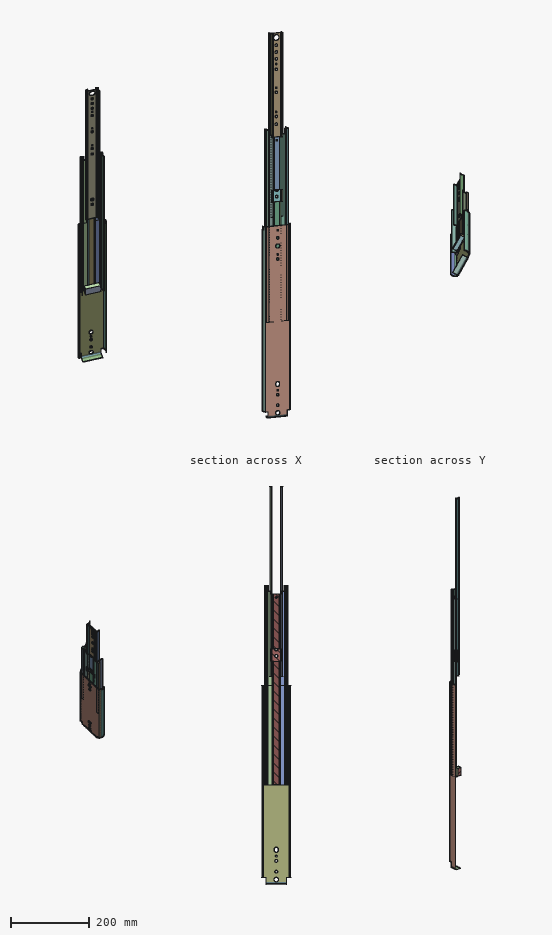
import cadquery as cq


OUTER_SHEET = 2.0
SHEET = 1.5
BACK_X = -9.7
FRONT_X = 9.7

OUTER_TOP = 508.0
OUTER_BOTTOM = 17.0
OUTER_WEB_HALF = 34.0
OUTER_SHOULDER_X = -3.6
OUTER_BULGE_X = 1.5
OUTER_HALF_WIDTH = 76.0 / 2
OUTER_BULGE = 1.3
OUTER_SHOULDER_Y = OUTER_HALF_WIDTH - OUTER_BULGE
OUTER_RIM_X = 7.6
OUTER_RIM_Y = 37.0
RIM_NOTCH_X = -1.5
RIM_NOTCH_DEPTH = 10.0
TAB_WIDTH = 53.0
TAB_BEND_RADIUS = 5.0

MIDDLE_TOP = 763.0
MIDDLE_BOTTOM = 254.0
MIDDLE_CREST_X = BACK_X + OUTER_SHEET
MIDDLE_WEB_X = -6.6
MIDDLE_FLOOR_X = -3.0
VALLEY_FLOOR_HALF = 6.6
VALLEY_MOUTH_HALF = 10.0
CREST_FOOT_Y = 21.0
CREST_INNER_Y = 48.0 / 2
CREST_OUTER_Y = 54.0 / 2
MIDDLE_HALF_WIDTH = 60.0 / 2
MIDDLE_CORNER_X = -7.5
RACE_X = -2.5
RACE_Y = CREST_OUTER_Y
MIDDLE_RIM_X = 8.6
RACE_MID_X = 3.0
RACE_MID_Y = 27.0
WEB_TOP = 749.0
WEB_NOTCH_HALF = 15.0
WEB_NOTCH_BOTTOM = 742.0
WEB_CUT_HALF = 20.0

INNER_TOP = 1016.0
INNER_BOTTOM = 530.0
INNER_FLOOR_X = 1.0
INNER_FLOOR_HALF = 21.0 / 2
INNER_CREST_X = -4.6
INNER_BEVEL_X = -3.6
INNER_BEVEL_Y = 16.0
INNER_HALF_WIDTH = 36.0 / 2
GROOVE_START_X = -1.0
GROOVE_MID_X = 4.0
GROOVE_MID_Y = 16.0

WINDOW_BOTTOM = 570.0
WINDOW_TOP = 601.0
WINDOW_HALF = 15.0
LATCH_HALF = 10.0
LATCH_HOLE_Z = 583.0
LATCH_HOLE = 7.0
LATCH_NOTCH = 9.0

STOP_BOTTOM = 255.0
STOP_TOP = 277.0
STOP_HALF = 20.0

PIN_HOLE = 4.0
SCREW_HOLE = 6.6
MOUNT_HOLE = 11.0
END_HOLE = 15.0
SLOT_WIDTH = 10.0
SLOT_HEIGHT = 13.0
OUTER_PIN_Z = [496.0, 432.0, 72.0]
OUTER_SCREW_Z = [475.0, 420.0, 60.0, 33.0]
OUTER_MOUNT_Z = [454.0, 12.0]
OUTER_SLOT_Z = 88.0
MIDDLE_PIN_Z = [733.0]
INNER_PIN_Z = [934.0, 871.0, 807.0]
INNER_SCREW_Z = [983.0, 965.0, 947.0, 919.0, 859.0, 795.0, 774.0]
INNER_END_Z = 1004.0

DRILL_LENGTH = FRONT_X - BACK_X


def box(x_range, half_width, z_range):
    """Block between two X values and two Z values, centred on Y = 0."""
    x0, x1 = x_range
    z0, z1 = z_range
    block = cq.Workplane("XY").box(x1 - x0, 2 * half_width, z1 - z0, centered=(False, True, False))
    return block.translate((x0, 0, z0))


def drill_plane():
    """Sketch plane on the back, local axes (Y, Z), extruding towards +X."""
    return cq.Workplane("YZ", origin=(BACK_X, 0, 0))


def drills(diameter, heights):
    """Round cutters along X on the middle line, one at each height."""
    places = [(0, z) for z in heights]
    return drill_plane().pushPoints(places).circle(diameter / 2).extrude(DRILL_LENGTH)


def half_start(x, bottom):
    """Half profile of a channel, started on the symmetry line."""
    return cq.Workplane("XY", origin=(0, 0, bottom)).moveTo(x, 0)


def outer_channel():
    half = (
        half_start(BACK_X, OUTER_BOTTOM)
        .lineTo(BACK_X, OUTER_WEB_HALF)
        .lineTo(OUTER_SHOULDER_X, OUTER_SHOULDER_Y)
        .threePointArc((OUTER_BULGE_X, OUTER_HALF_WIDTH), (OUTER_RIM_X, OUTER_RIM_Y))
        .lineTo(OUTER_RIM_X, OUTER_RIM_Y - OUTER_SHEET)
        .threePointArc(
            (OUTER_BULGE_X, OUTER_HALF_WIDTH - OUTER_SHEET),
            (OUTER_SHOULDER_X + OUTER_SHEET / 2, OUTER_SHOULDER_Y - OUTER_SHEET),
        )
        .lineTo(BACK_X + OUTER_SHEET, OUTER_WEB_HALF - OUTER_SHEET / 2)
        .lineTo(BACK_X + OUTER_SHEET, 0)
    )
    channel = half.mirrorX().extrude(OUTER_TOP - OUTER_BOTTOM)
    rim_notch = box(
        (RIM_NOTCH_X, FRONT_X), OUTER_HALF_WIDTH, (OUTER_TOP - RIM_NOTCH_DEPTH, OUTER_TOP)
    )
    return channel.cut(rim_notch)


def outer_tab():
    """Web tab below the channel, bent forward into a foot at Z = 0."""
    bend_x = BACK_X + TAB_BEND_RADIUS
    foot = box((bend_x, OUTER_RIM_X), TAB_WIDTH / 2, (0, OUTER_SHEET))
    upright = box((BACK_X, BACK_X + OUTER_SHEET), TAB_WIDTH / 2, (TAB_BEND_RADIUS, OUTER_BOTTOM))
    ring = (
        cq.Workplane("XZ", origin=(bend_x, TAB_WIDTH / 2, TAB_BEND_RADIUS))
        .circle(TAB_BEND_RADIUS)
        .circle(TAB_BEND_RADIUS - OUTER_SHEET)
        .extrude(TAB_WIDTH)
    )
    bend = ring.intersect(box((BACK_X, bend_x), TAB_WIDTH / 2, (0, TAB_BEND_RADIUS)))
    return upright.union(bend).union(foot)


def make_outer_member():
    slot = (
        drill_plane()
        .center(0, OUTER_SLOT_Z)
        .slot2D(SLOT_HEIGHT, SLOT_WIDTH, 90)
        .extrude(DRILL_LENGTH)
    )
    return (
        outer_channel()
        .union(outer_tab())
        .cut(drills(PIN_HOLE, OUTER_PIN_Z))
        .cut(drills(SCREW_HOLE, OUTER_SCREW_Z))
        .cut(drills(MOUNT_HOLE, OUTER_MOUNT_Z))
        .cut(slot)
    )


def intermediate_channel():
    half = (
        half_start(MIDDLE_FLOOR_X, MIDDLE_BOTTOM)
        .lineTo(MIDDLE_FLOOR_X, VALLEY_FLOOR_HALF)
        .lineTo(MIDDLE_WEB_X, VALLEY_MOUTH_HALF)
        .lineTo(MIDDLE_WEB_X, CREST_FOOT_Y)
        .lineTo(MIDDLE_CREST_X, CREST_INNER_Y)
        .lineTo(MIDDLE_CREST_X, CREST_OUTER_Y)
        .lineTo(MIDDLE_CORNER_X, MIDDLE_HALF_WIDTH)
        .lineTo(RACE_X, MIDDLE_HALF_WIDTH)
        .lineTo(RACE_X, RACE_Y)
        .threePointArc((RACE_MID_X, RACE_MID_Y), (MIDDLE_RIM_X, MIDDLE_HALF_WIDTH))
        .lineTo(MIDDLE_RIM_X, MIDDLE_HALF_WIDTH - SHEET)
        .threePointArc((RACE_MID_X, RACE_MID_Y - SHEET), (RACE_X - SHEET, RACE_Y - SHEET))
        .lineTo(MIDDLE_CREST_X + SHEET, CREST_INNER_Y)
        .lineTo(MIDDLE_WEB_X + SHEET, CREST_FOOT_Y)
        .lineTo(MIDDLE_WEB_X + SHEET, VALLEY_MOUTH_HALF + SHEET / 2)
        .lineTo(MIDDLE_FLOOR_X + SHEET, VALLEY_FLOOR_HALF + SHEET / 2)
        .lineTo(MIDDLE_FLOOR_X + SHEET, 0)
    )
    return half.mirrorX().extrude(MIDDLE_TOP - MIDDLE_BOTTOM)


def make_intermediate_member():
    cut_x = (BACK_X, FRONT_X)
    top_recess = box(cut_x, WEB_CUT_HALF, (WEB_TOP, MIDDLE_TOP))
    top_notch = box(cut_x, WEB_NOTCH_HALF, (WEB_NOTCH_BOTTOM, WEB_TOP))
    window = box(cut_x, WINDOW_HALF, (WINDOW_BOTTOM, WINDOW_TOP))
    return (
        intermediate_channel()
        .cut(top_recess)
        .cut(top_notch)
        .cut(window)
        .cut(drills(PIN_HOLE, MIDDLE_PIN_Z))
    )


def inner_channel():
    inside_half = INNER_HALF_WIDTH - SHEET
    half = (
        half_start(INNER_FLOOR_X, INNER_BOTTOM)
        .lineTo(INNER_FLOOR_X, INNER_FLOOR_HALF)
        .lineTo(INNER_CREST_X, INNER_FLOOR_HALF)
        .lineTo(INNER_BEVEL_X, INNER_BEVEL_Y)
        .lineTo(GROOVE_START_X, INNER_HALF_WIDTH)
        .threePointArc((GROOVE_MID_X, GROOVE_MID_Y), (FRONT_X, INNER_HALF_WIDTH))
        .lineTo(FRONT_X, inside_half)
        .threePointArc((GROOVE_MID_X, GROOVE_MID_Y - SHEET), (GROOVE_START_X, inside_half))
        .lineTo(INNER_BEVEL_X + SHEET, INNER_BEVEL_Y - SHEET)
        .lineTo(INNER_CREST_X + SHEET, INNER_FLOOR_HALF + SHEET)
        .lineTo(INNER_FLOOR_X + SHEET, INNER_FLOOR_HALF + SHEET)
        .lineTo(INNER_FLOOR_X + SHEET, 0)
    )
    return half.mirrorX().extrude(INNER_TOP - INNER_BOTTOM)


def make_inner_member():
    return (
        inner_channel()
        .cut(drills(END_HOLE, [INNER_END_Z]))
        .cut(drills(SCREW_HOLE, INNER_SCREW_Z))
        .cut(drills(PIN_HOLE, INNER_PIN_Z))
        .cut(drills(LATCH_HOLE, [LATCH_HOLE_Z]))
        .cut(drills(LATCH_NOTCH, [WINDOW_TOP]))
    )


def make_latch_plate():
    plate = box(
        (MIDDLE_FLOOR_X, MIDDLE_FLOOR_X + SHEET), LATCH_HALF, (WINDOW_BOTTOM, WINDOW_TOP)
    )
    return plate.cut(drills(LATCH_HOLE, [LATCH_HOLE_Z])).cut(drills(LATCH_NOTCH, [WINDOW_TOP]))


def make_end_stop():
    """Block resting against the front of the valley floor."""
    return box((MIDDLE_FLOOR_X + SHEET, FRONT_X), STOP_HALF, (STOP_BOTTOM, STOP_TOP))


outer_member = make_outer_member()
intermediate_member = make_intermediate_member()
inner_member = make_inner_member()
latch_plate = make_latch_plate()
end_stop = make_end_stop()

bodies = [outer_member, intermediate_member, inner_member, latch_plate, end_stop]
result = cq.Compound.makeCompound([body.solids().val() for body in bodies])